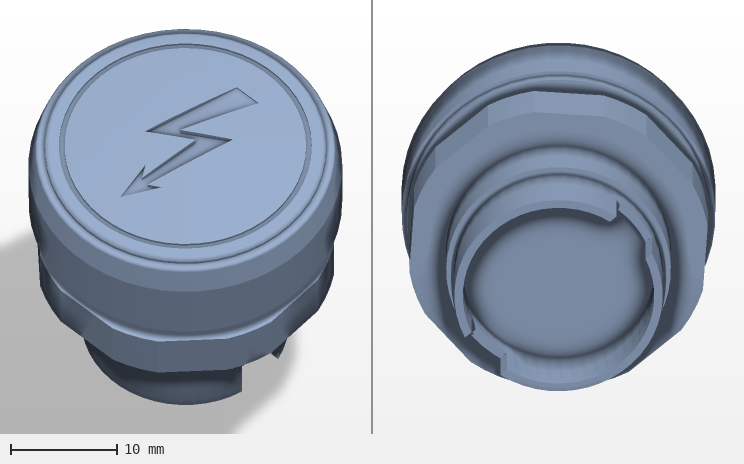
import cadquery as cq
import math

shoulder_z = 6.02
nut_bottom_z = 11.03
nut_top_z = 16.02
flange_bottom_z = 18.05
bezel_bottom_z = 19.05
bezel_taper_z = 25.08
bezel_taper_top_z = 27.3
bezel_top_z = 27.5
lens_side_top_z = 27.75
lens_rim_z = 28.05
crown_z = 28.8

bezel_radius = 14.75
flange_radius = 14.3
neck_radius = 10.55
skirt_radius = 9.8
bezel_taper_top_radius = 14.1
bezel_rim_radius = 13.75
lens_radius = 13.25
lens_rim_radius = 12.68
groove_outer_radius = 11.9
dome_radius = 11.35

groove_depth = 0.25
skirt_bore_radius = 9.0
slot_width = 5.07
slot_height = 4.05
bolt_floor_z = 28.23

nut_across_flats = 27.67
nut_corner_radius = 14.22
nut_sides = 8

bolt_outline = [
    (-0.8, 8.1),
    (1.92, 8.1),
    (-1.27, 0.65),
    (3.13, 3.25),
    (0.62, -6.0),
    (1.83, -5.35),
    (-0.4, -8.6),
    (-1.03, -4.45),
    (-0.27, -5.78),
    (0.6, 0.8),
    (-3.65, -1.65),
]


def rounded_corner_mid(side, top):
    """Middle of a quarter-ellipse edge from a side point to a higher top point (radius, z)."""
    blend = math.sqrt(0.5)
    radius = top[0] + (side[0] - top[0]) * blend
    z = side[1] + (top[1] - side[1]) * blend
    return radius, z


def dome_mid_point():
    """Point halfway out along the spherical crown."""
    rise = crown_z - lens_rim_z
    sphere_radius = (dome_radius**2 + rise**2) / (2 * rise)
    radius = dome_radius / 2
    z = crown_z - sphere_radius + math.sqrt(sphere_radius**2 - radius**2)
    return radius, z


def make_turned_head():
    bezel_side = (bezel_taper_top_radius, bezel_taper_top_z)
    bezel_rim = (bezel_rim_radius, bezel_top_z)
    lens_side = (lens_radius, lens_side_top_z)
    lens_rim = (lens_rim_radius, lens_rim_z)
    groove_floor_z = lens_rim_z - groove_depth
    return (
        cq.Workplane("XZ")
        .moveTo(0, 0)
        .lineTo(skirt_radius, 0)
        .lineTo(skirt_radius, shoulder_z)
        .lineTo(neck_radius, shoulder_z)
        .lineTo(neck_radius, flange_bottom_z)
        .lineTo(flange_radius, flange_bottom_z)
        .lineTo(flange_radius, bezel_bottom_z)
        .lineTo(bezel_radius, bezel_bottom_z)
        .lineTo(bezel_radius, bezel_taper_z)
        .lineTo(*bezel_side)
        .threePointArc(rounded_corner_mid(bezel_side, bezel_rim), bezel_rim)
        .lineTo(lens_radius, bezel_top_z)
        .lineTo(*lens_side)
        .threePointArc(rounded_corner_mid(lens_side, lens_rim), lens_rim)
        .lineTo(groove_outer_radius, lens_rim_z)
        .lineTo(groove_outer_radius, groove_floor_z)
        .lineTo(dome_radius, groove_floor_z)
        .lineTo(dome_radius, lens_rim_z)
        .threePointArc(dome_mid_point(), (0, crown_z))
        .close()
        .revolve(360, (0, 0, 0), (0, 1, 0))
    )


def make_skirt_bore():
    return cq.Workplane("XY").circle(skirt_bore_radius).extrude(shoulder_z)


def make_skirt_slot():
    """Slot that opens the skirt on its -X and +X sides."""
    return cq.Workplane("XY").rect(2 * neck_radius, slot_width).extrude(slot_height)


def make_bolt_recess():
    return (
        cq.Workplane("XY")
        .workplane(offset=bolt_floor_z)
        .polyline(bolt_outline)
        .close()
        .extrude(crown_z - bolt_floor_z)
    )


def make_head():
    head = make_turned_head()
    head = head.cut(make_skirt_bore())
    head = head.cut(make_skirt_slot())
    return head.cut(make_bolt_recess())


def make_nut():
    """Octagon with flats facing X and Y, corners turned round, bored to fit the neck."""
    height = nut_top_z - nut_bottom_z
    base = cq.Workplane("XY").workplane(offset=nut_bottom_z)
    octagon = base.polygon(nut_sides, nut_across_flats, circumscribed=True).extrude(height)
    corner_round = base.circle(nut_corner_radius).extrude(height)
    bore = base.circle(neck_radius).extrude(height)
    return octagon.intersect(corner_round).cut(bore)


head = make_head()
nut = make_nut()
result = cq.Compound.makeCompound([head.val(), nut.val()])